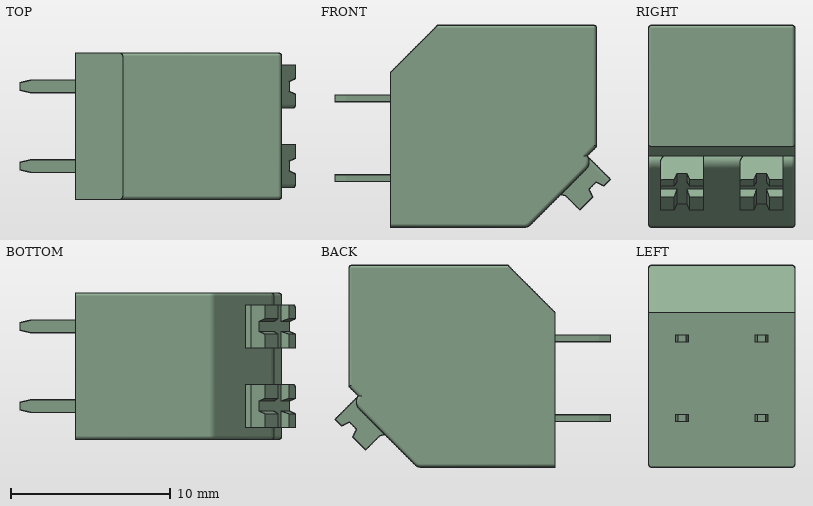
import cadquery as cq
import math

length = 17.3
width = 9.2
height = 12.7
half_width = width / 2

back_x = 3.48
front_x = 16.44
back_chamfer = 2.98
edge_radius = 0.2
upper_step_z = 5.09
sloped_face_x = 12.11
bottom_corner_radius = 0.5
lip_radius = 1.3 / 2
lip_center_along = 5.17

pitch = 5.0
lower_pin_z = 3.1
pin_width = 0.81
pin_thickness = 0.43
pin_tip_width = 0.48
pin_taper = 0.7
pin_root = 0.35

button_size = 2.72
button_height = 1.54
button_root = 0.7
button_edge_radius = 0.2
foot_height = 0.3
foot_flare = 0.17
slot_along = 4.72
slot_depth = 0.52
slot_half_mouth = 0.48
slot_half_floor = 0.31

center_ys = (-pitch / 2, pitch / 2)
button_top = length * math.sqrt(2) - sloped_face_x * math.sqrt(2) - button_height
button_bottom = button_top - button_size


def slope_point(out, along):
    """XZ position of a point given outward from and up along the sloped face."""
    return (sloped_face_x + (out + along) / math.sqrt(2), (along - out) / math.sqrt(2))


def slope_plane(y):
    """Plane facing -Y whose local x points out of the sloped face and local y up along it."""
    return cq.Plane(origin=(sloped_face_x, y, 0), xDir=(1, 0, -1), normal=(0, -1, 0))


def make_housing():
    step_out = (front_x - upper_step_z - sloped_face_x) / math.sqrt(2)
    step_offset = step_out + lip_radius
    step_along = lip_center_along + math.sqrt(lip_radius**2 - step_offset**2)
    lip_angle = (math.pi / 2 - math.asin(step_offset / lip_radius)) / 2
    lip_middle = (
        lip_radius * (math.cos(lip_angle) - 1),
        lip_center_along + lip_radius * math.sin(lip_angle),
    )
    body = (
        cq.Workplane("XZ", origin=(0, half_width, 0))
        .moveTo(back_x, 0)
        .lineTo(sloped_face_x, 0)
        .lineTo(*slope_point(0, lip_center_along))
        .threePointArc(slope_point(*lip_middle), slope_point(step_out, step_along))
        .lineTo(front_x, upper_step_z)
        .lineTo(front_x, height)
        .lineTo(back_x + back_chamfer, height)
        .lineTo(back_x, height - back_chamfer)
        .close()
        .extrude(width)
    )
    bottom_corner = cq.selectors.NearestToPointSelector((sloped_face_x, 0, 0))
    body = body.edges("|Y").edges(bottom_corner).fillet(bottom_corner_radius)

    front_zone = cq.selectors.BoxSelector(
        (back_x + back_chamfer, -width, -height),
        (length, width, 2 * height),
    )
    rims = body.faces("<Y or >Y").edges(front_zone)
    front_top_edge = body.edges("|Y").edges(cq.selectors.NearestToPointSelector((front_x, 0, height)))
    return rims.add(front_top_edge).fillet(edge_radius)


def make_pin(y, z):
    half_tip = pin_tip_width / 2
    half_pin = pin_width / 2
    root_x = back_x + pin_root
    outline = [
        (0, -half_tip),
        (pin_taper, -half_pin),
        (root_x, -half_pin),
        (root_x, half_pin),
        (pin_taper, half_pin),
        (0, half_tip),
    ]
    pin = cq.Workplane("XY").polyline(outline).close().extrude(pin_thickness / 2, both=True)
    return pin.translate((0, y, z))


def slot_outline(center):
    """Trapezoid slot section, opening at the button's outer face."""
    floor = button_height - slot_depth
    return [
        (button_height, center - slot_half_mouth),
        (floor, center - slot_half_floor),
        (floor, center + slot_half_floor),
        (button_height, center + slot_half_mouth),
    ]


def make_button(y):
    middle = cq.Workplane(slope_plane(y))
    half_size = button_size / 2
    block_depth = button_height + button_root
    block_center = ((button_height - button_root) / 2, (button_top + button_bottom) / 2)
    block = middle.center(*block_center).rect(block_depth, button_size).extrude(half_size, both=True)
    block = block.faces("<Y").edges(">(1, 0, 1)").fillet(button_edge_radius)

    foot = (
        middle.moveTo(foot_height, button_bottom)
        .lineTo(0, button_bottom - foot_flare)
        .lineTo(-button_root, button_bottom - foot_flare)
        .lineTo(-button_root, button_bottom)
        .close()
        .extrude(half_size, both=True)
    )

    cross_slot = middle.polyline(slot_outline(slot_along)).close().extrude(half_size, both=True)
    along_plane = cq.Plane(origin=(sloped_face_x, y, 0), xDir=(1, 0, -1), normal=(1, 0, 1))
    along_slot = cq.Workplane(along_plane).polyline(slot_outline(0)).close().extrude(button_top)
    return block.union(foot).cut(cross_slot).cut(along_slot)


result = make_housing()
for center_y in center_ys:
    result = result.union(make_button(center_y))
    for pin_z in (lower_pin_z, lower_pin_z + pitch):
        result = result.union(make_pin(center_y, pin_z))